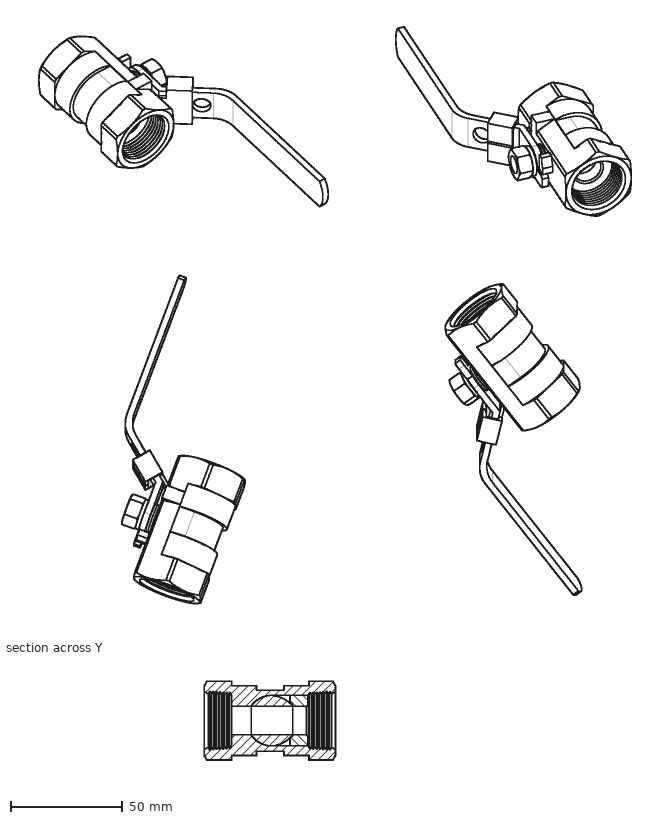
import cadquery as cq
import math


housing_length = 59.0
hex_width = 31.5
hex_corner_diameter = 35.5
hex_half_angle = 30
hex_chamfer_angle = 30
inlet_flange_length = 12.0
outlet_flange_length = 12.4
barrel_diameter = 31.4
neck_start = 23.2
neck_length = 12.3
neck_diameter = 27.6
neck_flat_top = 7.4
slab_bottom = 7.0

mouth_radius = 13.0
thread_crest_radius = 11.9
thread_pitch = 1.5
thread_turns = 7
thread_depth = thread_pitch * math.cos(math.pi / 6)
thread_lead_in = 1.8
port_depth = thread_lead_in + thread_turns * thread_pitch

cavity_diameter = 22.5
bore_diameter = 12.5
bore_chamfer = 0.8
retainer_length = 8.2

stem_x = 28.5
stem_diameter = 8.0
stem_hole_diameter = 8.2
tang_thickness = 3.3
tang_bottom = 8.2
housing_top = hex_width / 2
boss_diameter = 13.0
boss_top = 16.1
packing_diameter = 12.5
packing_top = 17.2
gland_diameter = 13.0
handle_bottom = 18.3
handle_thickness = 3.0
handle_top = handle_bottom + handle_thickness
washer_diameter = 14.0
nut_bottom = 23.1
nut_top = 29.6
nut_width = 12.8
nut_chamfer_radius = 6.7

tab_start = 36.3
tab_end = 42.5
tab_reach = 14.2

post_start = 16.1
post_shoulder = 17.6
post_end = 20.4
post_low = 0.5
post_bend = 3.8
post_high = 8.7
post_hollow = 0.3
post_top = 20.6

handle_width = 16.0
handle_rise_angle = 50
handle_rise_x = 44.5
overall_height = 60.0
handle_grip_top = overall_height - hex_width / 2
handle_bend_radius = 11.7
handle_tip_x = 136.6
handle_tip_bulge = 2.6
lock_hole_diameter = 8.0
lock_hole_place = 19.3
arm_start = 14.9
arm_width = 6.5
arm_shoulder_length = 2.7
arm_shoulder_drop = 1.0

slider_start = 3.4
slider_end = 15.0
slider_over = 7.1
slider_gap = 0.3
slider_width = 21.0
slider_wall = 1.5
slider_under = -slider_gap - slider_wall
slider_corner_radius = 1.4
slider_seam = 1.1
tongue_width = 10.9
tongue_bottom = 14.6
lug_end = 45.5

rise = math.radians(handle_rise_angle)
rise_plane = cq.Plane(
    origin=(handle_rise_x, handle_bottom, 0),
    xDir=(math.cos(rise), math.sin(rise), 0),
    normal=(0, 0, 1),
)


def upright(diameter, bottom, top):
    """Cylinder on the stem axis between two heights."""
    plane = cq.Plane(origin=(stem_x, bottom, 0), xDir=(1, 0, 0), normal=(0, 1, 0))
    return cq.Workplane(plane).circle(diameter / 2).extrude(top - bottom)


def along_pipe(diameter, start, end):
    """Cylinder on the pipe axis between two X places."""
    return cq.Workplane("YZ").workplane(offset=start).circle(diameter / 2).extrude(end - start)


def block(x_range, y_range, z_range):
    """Box given by its limits along each axis."""
    size = [high - low for low, high in (x_range, y_range, z_range)]
    return cq.Workplane("XY").box(*size, centered=False).translate((x_range[0], y_range[0], z_range[0]))


def around_pipe(points):
    """Solid of revolution about the pipe axis from an (X, radius) outline."""
    return cq.Workplane("XY").polyline(points).close().revolve(360, (0, 0, 0), (1, 0, 0))


def hexagon_bar():
    """Full-length hexagon with turned corners and conical end chamfers."""
    sharp_diameter = hex_width / math.cos(math.radians(hex_half_angle))
    bar = (
        cq.Workplane("YZ")
        .polygon(6, sharp_diameter)
        .extrude(housing_length)
        .rotate((0, 0, 0), (1, 0, 0), hex_half_angle)
    )
    end_radius = barrel_diameter / 2
    outer_radius = hex_corner_diameter / 2
    setback = (outer_radius - end_radius) * math.tan(math.radians(hex_chamfer_angle))
    envelope = around_pipe([
        (0, 0),
        (0, end_radius),
        (setback, outer_radius),
        (housing_length - setback, outer_radius),
        (housing_length, end_radius),
        (housing_length, 0),
    ])
    return bar.intersect(envelope)


def threaded_port():
    """Space of a tapered threaded port opening at X = 0."""
    taper = (thread_crest_radius - cavity_diameter / 2) / thread_turns
    points = [(0, 0), (0, mouth_radius), (thread_lead_in, thread_crest_radius)]
    for turn in range(thread_turns):
        start = thread_lead_in + turn * thread_pitch
        crest = thread_crest_radius - turn * taper
        points.append((start + thread_pitch / 2, crest - taper / 2 + thread_depth))
        points.append((start + thread_pitch, crest - taper))
    points.append((port_depth, 0))
    return around_pipe(points)


def post():
    """Stop post with one hollowed flank."""
    slope = math.atan2(post_high - post_bend, post_shoulder - post_start)
    hollow_middle = (
        (post_start + post_shoulder) / 2 + post_hollow * math.sin(slope),
        (post_bend + post_high) / 2 - post_hollow * math.cos(slope),
    )
    plane = cq.Plane(origin=(0, post_top, 0), xDir=(1, 0, 0), normal=(0, -1, 0))
    return (
        cq.Workplane(plane)
        .moveTo(post_end, post_low)
        .lineTo(post_start, post_low)
        .lineTo(post_start, post_bend)
        .threePointArc(hollow_middle, (post_shoulder, post_high))
        .lineTo(post_end, post_high)
        .close()
        .extrude(post_top - housing_top)
    )


def tongue_bar(low, high):
    """Slanted bar of the slider tongue, cut off square by the tab and by its bottom."""
    bar = (
        cq.Workplane(rise_plane)
        .workplane(offset=low)
        .moveTo(-slider_end, slider_under)
        .lineTo(slider_start, slider_under)
        .lineTo(slider_start, -slider_gap)
        .lineTo(-slider_end, -slider_gap)
        .close()
        .extrude(high - low)
    )
    limits = block((tab_end, handle_rise_x + slider_end), (tongue_bottom, handle_grip_top), (low, high))
    return bar.intersect(limits)


def ball_sphere():
    """Full sphere that fits the cavity."""
    return cq.Workplane("XY").sphere(cavity_diameter / 2).translate((stem_x, 0, 0))


def tang():
    """Flat end of the stem that turns the ball."""
    half = tang_thickness / 2
    blade = block(
        (stem_x - half, stem_x + half),
        (tang_bottom, housing_top),
        (-stem_diameter / 2, stem_diameter / 2),
    )
    return blade.intersect(upright(stem_diameter, 0, housing_top))


def make_housing():
    half_hex = hex_width / 2
    far = 2 * hex_width
    neck_end = neck_start + neck_length
    bar = hexagon_bar()
    outlet_flange_start = housing_length - outlet_flange_length
    middle = block((inlet_flange_length, outlet_flange_start), (-far, slab_bottom), (-far, far))
    housing = bar.cut(middle)
    barrels = along_pipe(barrel_diameter, inlet_flange_length, neck_start)
    barrels = barrels.union(along_pipe(barrel_diameter, neck_end, outlet_flange_start))
    housing = housing.union(barrels.intersect(middle))
    housing = housing.union(along_pipe(neck_diameter, neck_start, neck_end))
    half_neck = neck_diameter / 2
    housing = housing.union(block((neck_start, neck_end), (0, neck_flat_top), (-half_neck, half_neck)))
    housing = housing.union(block((tab_start, tab_end), (slab_bottom, half_hex), (0, tab_reach)))
    housing = housing.union(post())
    housing = housing.union(upright(boss_diameter, slab_bottom, boss_top))
    half_tongue = tongue_width / 2
    lug_height = handle_bottom + (lug_end - handle_rise_x) * math.tan(rise) + slider_under / math.cos(rise)
    lug = (
        cq.Workplane("XY")
        .workplane(offset=-half_tongue)
        .moveTo(lug_end, slab_bottom)
        .lineTo(lug_end, lug_height)
        .lineTo(lug_end - (lug_height - slab_bottom) / math.tan(rise), slab_bottom)
        .close()
        .extrude(tongue_width)
    )
    housing = housing.union(lug).cut(tongue_bar(-half_tongue, half_hex))
    port = threaded_port()
    housing = housing.cut(port)
    housing = housing.cut(port.mirror("YZ").translate((housing_length, 0, 0)))
    housing = housing.cut(along_pipe(cavity_diameter, port_depth, stem_x))
    housing = housing.cut(ball_sphere())
    housing = housing.cut(along_pipe(bore_diameter, stem_x, housing_length))
    return housing.cut(upright(stem_hole_diameter, 0, boss_top))


def make_retainer():
    retainer = along_pipe(cavity_diameter, port_depth, port_depth + retainer_length)
    retainer = retainer.cut(along_pipe(bore_diameter, 0, stem_x))
    retainer = retainer.faces("<X").edges(cq.selectors.RadiusNthSelector(0)).chamfer(bore_chamfer)
    return retainer.cut(ball_sphere())


def make_ball():
    return ball_sphere().cut(along_pipe(bore_diameter, 0, housing_length)).cut(tang())


def make_stem():
    ball_top = cavity_diameter / 2
    return upright(stem_diameter, ball_top, nut_top).union(tang())


def make_ring(diameter, bottom, top):
    return upright(diameter, bottom, top).cut(upright(stem_diameter, bottom, top))


def make_nut():
    corner_diameter = nut_width / math.cos(math.radians(hex_half_angle))
    height = nut_top - nut_bottom
    plane = cq.Plane(origin=(stem_x, nut_bottom, 0), xDir=(1, 0, 0), normal=(0, 1, 0))
    nut = cq.Workplane(plane).polygon(6, corner_diameter).extrude(height)
    outer_radius = corner_diameter / 2
    setback = (outer_radius - nut_chamfer_radius) * math.tan(math.radians(hex_chamfer_angle))
    envelope = upright(corner_diameter, nut_bottom, nut_top).edges().chamfer(
        setback, outer_radius - nut_chamfer_radius
    )
    return nut.intersect(envelope).cut(upright(stem_diameter, nut_bottom, nut_top))


def make_arm():
    """Stop arm of the handle, its sides rounded off towards its free end."""
    shoulder_x = arm_start + arm_shoulder_length
    radius = (arm_shoulder_length ** 2 + arm_shoulder_drop ** 2) / (2 * arm_shoulder_drop)
    half_angle = math.asin(arm_shoulder_length / radius) / 2
    middle_x = shoulder_x - radius * math.sin(half_angle)
    middle_drop = radius * (1 - math.cos(half_angle))
    plane = cq.Plane(origin=(0, handle_top, 0), xDir=(1, 0, 0), normal=(0, -1, 0))
    return (
        cq.Workplane(plane)
        .moveTo(stem_x, 0)
        .lineTo(shoulder_x, 0)
        .threePointArc((middle_x, -middle_drop), (arm_start, -arm_shoulder_drop))
        .lineTo(arm_start, arm_shoulder_drop - arm_width)
        .threePointArc((middle_x, middle_drop - arm_width), (shoulder_x, -arm_width))
        .lineTo(stem_x, -arm_width)
        .close()
        .extrude(handle_thickness)
    )


def make_handle():
    half = handle_width / 2
    grip_bottom = handle_grip_top - handle_thickness
    corner_x = handle_rise_x + (grip_bottom - handle_bottom) / math.tan(rise)
    set_back = handle_thickness * math.tan(rise / 2)
    tangent_length = handle_bend_radius * math.tan(rise / 2)

    def on_bend(corner, face_y, angle):
        centre_x = corner + tangent_length
        centre_y = face_y - handle_bend_radius
        return (
            centre_x - handle_bend_radius * math.sin(angle),
            centre_y + handle_bend_radius * math.cos(angle),
        )

    lower_bend = [on_bend(corner_x, grip_bottom, angle) for angle in (rise, rise / 2, 0)]
    upper_bend = [on_bend(corner_x - set_back, handle_grip_top, angle) for angle in (0, rise / 2, rise)]
    strip = (
        cq.Workplane("XY")
        .workplane(offset=-half)
        .moveTo(stem_x - half, handle_bottom)
        .lineTo(handle_rise_x, handle_bottom)
        .lineTo(*lower_bend[0])
        .threePointArc(*lower_bend[1:])
        .lineTo(handle_tip_x, grip_bottom)
        .lineTo(handle_tip_x, handle_grip_top)
        .lineTo(*upper_bend[0])
        .threePointArc(*upper_bend[1:])
        .lineTo(handle_rise_x - set_back, handle_top)
        .lineTo(stem_x - half, handle_top)
        .close()
        .extrude(handle_width)
    )
    tip_corner_x = handle_tip_x - handle_tip_bulge
    outline_plane = cq.Plane(origin=(0, 0, 0), xDir=(1, 0, 0), normal=(0, -1, 0))
    outline = (
        cq.Workplane(outline_plane)
        .moveTo(stem_x, half)
        .lineTo(tip_corner_x, half)
        .threePointArc((handle_tip_x, 0), (tip_corner_x, -half))
        .lineTo(stem_x, -half)
        .threePointArc((stem_x - half, 0), (stem_x, half))
        .close()
        .extrude(-handle_grip_top)
    )
    handle = strip.intersect(outline)
    handle = handle.union(make_arm())
    lock_hole = (
        cq.Workplane(rise_plane)
        .transformed(rotate=(90, 0, 0))
        .center(lock_hole_place, 0)
        .circle(lock_hole_diameter / 2)
        .extrude(2 * handle_thickness, both=True)
    )
    return handle.cut(lock_hole).cut(upright(stem_hole_diameter, handle_bottom, handle_top))


def make_slider():
    height = slider_over - slider_under
    length = slider_end - slider_start
    place = ((slider_start + slider_end) / 2, (slider_under + slider_over) / 2, 0)

    def slanted_box(thickness, width):
        return cq.Workplane(rise_plane).center(*place[:2]).box(length, thickness, width)

    opening = slanted_box(height - 2 * slider_wall, slider_width - 2 * slider_wall)
    opening = opening.edges(cq.selectors.ParallelDirSelector(rise_plane.xDir)).fillet(slider_corner_radius)
    seam = (
        cq.Workplane(rise_plane)
        .center(place[0], slider_over)
        .box(length, 2 * slider_wall, slider_seam)
    )
    half_tongue = tongue_width / 2
    sleeve = slanted_box(height, slider_width).cut(opening).cut(seam)
    return sleeve.union(tongue_bar(-half_tongue, half_tongue))


housing = make_housing()
retainer = make_retainer()
ball = make_ball()
stem = make_stem()
packing = make_ring(packing_diameter, boss_top, packing_top)
gland = make_ring(gland_diameter, packing_top, handle_bottom)
handle = make_handle()
washer = make_ring(washer_diameter, handle_top, nut_bottom)
nut = make_nut()
slider = make_slider()

bodies = [housing, retainer, ball, stem, packing, gland, handle, washer, nut, slider]
result = cq.Compound.makeCompound([solid for body in bodies for solid in body.solids().vals()])